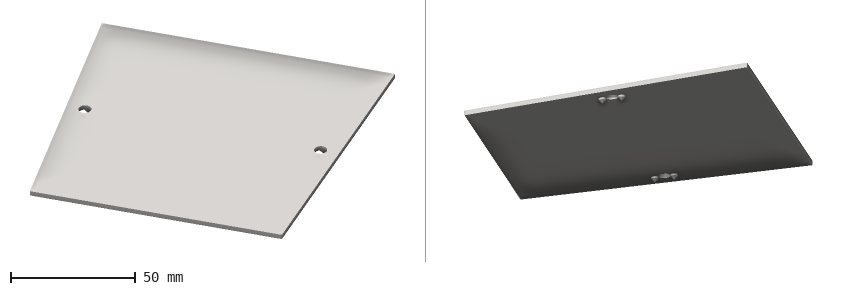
import cadquery as cq

back_width = 124.0
front_width = 106.6
depth = 117.9
height = 10.9
thickness = 2.0
front_corner_radius = 0.5

hole_diameter = 5.2
hole_x = 49.9
hole_y = 0.9
pin_diameter = 3.0
pin_offset = 4.0
pin_projection = 2.2

drop = height - thickness
front_y = -depth / 2
back_y = depth / 2


def underside_z(y):
    """Height of the sloping underside at a given Y."""
    return drop * (y - front_y) / depth


def make_plate():
    """Sloping sheet trimmed to a trapezoid, with rounded front corners."""
    sheet = (
        cq.Workplane("YZ")
        .polyline([(front_y, 0), (back_y, drop), (back_y, height), (front_y, thickness)])
        .close()
        .extrude(back_width / 2, both=True)
    )
    outline = (
        cq.Workplane("XY")
        .polyline([
            (-front_width / 2, front_y),
            (front_width / 2, front_y),
            (back_width / 2, back_y),
            (-back_width / 2, back_y),
        ])
        .close()
        .extrude(height)
        .edges("|Z and <Y")
        .fillet(front_corner_radius)
    )
    return sheet.intersect(outline)


def make_pin(x, y):
    """Vertical pin rooted in the plate, ending in a 45 degree point."""
    radius = pin_diameter / 2
    root_z = underside_z(y) + thickness / 2
    tip_z = underside_z(y) - pin_projection
    profile = [(0, root_z), (radius, root_z), (radius, tip_z + radius), (0, tip_z)]
    return (
        cq.Workplane("XZ")
        .polyline(profile)
        .close()
        .revolve(360, (0, 0), (0, 1))
        .translate((x, y, 0))
    )


result = make_plate()
for side in (-1, 1):
    for direction in (-1, 1):
        result = result.union(make_pin(side * hole_x, hole_y + direction * pin_offset))

holes = (
    cq.Workplane("XY")
    .pushPoints([(-hole_x, hole_y), (hole_x, hole_y)])
    .circle(hole_diameter / 2)
    .extrude(height)
)
result = result.cut(holes)